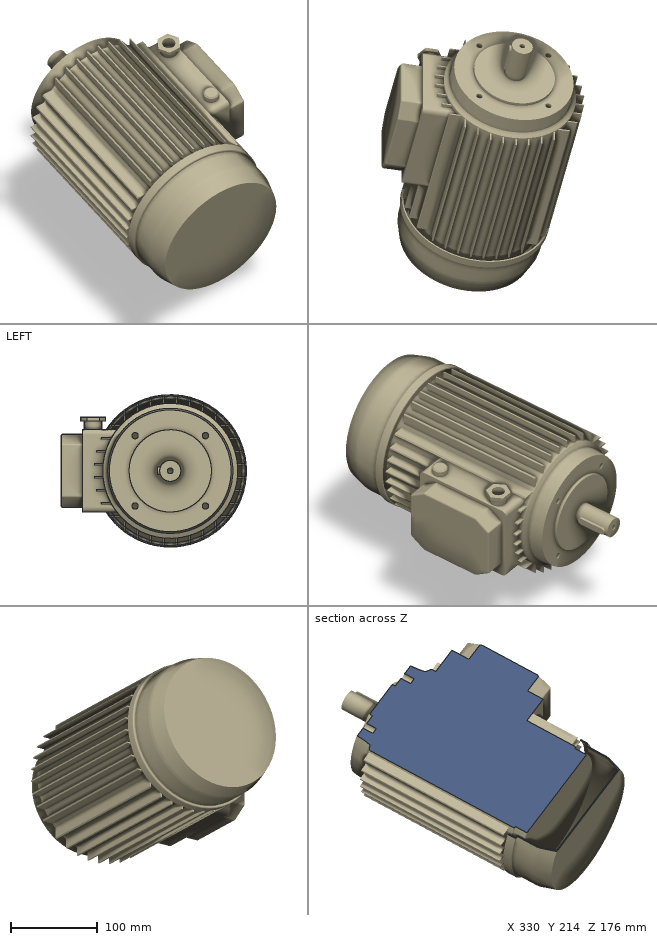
import cadquery as cq
import math


LENGTH = 330.0
COVER_DIAMETER = 176.0
DEPTH_Y = 214.0
COVER_RADIUS = COVER_DIAMETER / 2
LID_TOP_Y = DEPTH_Y - COVER_RADIUS

SHAFT_RADIUS = 12.2
CENTRE_HOLE_RADIUS = 3.3
CENTRE_HOLE_DEPTH = 13.2
DRILL_HALF_ANGLE = math.radians(60)
KEY_WIDTH = 8.5
KEY_START_X = 3.0
KEY_END_X = 41.0
KEY_TOP_Y = 14.5

SPIGOT_X = 46.0
SPIGOT_RADIUS = 47.5
FLANGE_X = 49.8
FLANGE_FACE_RADIUS = 70.3
FLANGE_BACK_X = 68.5
FLANGE_BACK_RADIUS = 72.3
CORE_START_X = 72.5
BOLT_OFFSET = 40.5
BOLT_HOLE_RADIUS = 3.5
BOLT_HOLE_DEPTH = 13.2

CORE_RADIUS = 78.0
FIN_START_X = 73.5
FIN_END_X = 265.0
FIN_SPAN = 105.0
FIN_THICKNESS = 1.5
FINS_PER_SIDE = 8
CORE_END_X = 271.3
REAR_SHIELD_RADIUS = 76.0
REAR_SHIELD_END_X = 287.0

BOX_START_X = 78.5
BOX_END_X = 204.0
BOX_TOP_Y = 101.3
BOX_HEIGHT_Z = 95.5
BOX_SIDE_Z = BOX_HEIGHT_Z / 2
BOX_CORNER_RADIUS = 6.0
BOX_MID_X = (BOX_START_X + BOX_END_X) / 2
LID_MID_X = 142.2
LID_LENGTH_X = 114.2
LID_HEIGHT_Z = 84.8
LID_CORNER_X = 19.5
LID_CORNER_Z = 12.2
LID_EDGE_RADIUS = 2.3

FITTING_Y = 89.0
GLAND_X = 99.3
GLAND_STEM_RADIUS = 10.2
GLAND_HEX_BOTTOM_Z = 57.5
GLAND_HEX_TOP_Z = 62.0
HEX_SIDES = 6
GLAND_HEX_FLATS = 25.0
GLAND_BORE_RADIUS = 7.5
PLUG_X = 184.5
PLUG_RADIUS = 9.0
PLUG_HEIGHT = 8.5
PLUG_CHAMFER = 1.5

COVER_START_X = 270.0
COVER_RING_END_X = 280.5
COVER_RING_ROUNDING = 1.3
COVER_BARREL_RADIUS = 84.8
COVER_TAPER_X = 309.2
COVER_TAPER_ROUNDING = 15.2
COVER_BACK_RADIUS = 78.5
COVER_WALL = 1.5


def revolve_about_axis(points):
    """Revolve an (x, radius) outline about the motor axis."""
    return cq.Workplane("XY").polyline(points).close().revolve(360, (0, 0, 0), (1, 0, 0))


def cylinder_along_x(start_x, end_x, radius):
    return cq.Workplane("YZ", origin=(start_x, 0, 0)).circle(radius).extrude(end_x - start_x)


def cylinder_along_z(x, bottom_z, top_z, radius):
    base = cq.Workplane("XY", origin=(x, FITTING_Y, bottom_z))
    return base.circle(radius).extrude(top_z - bottom_z)


def make_shaft():
    shaft = cylinder_along_x(0, SPIGOT_X, SHAFT_RADIUS)
    key_length = KEY_END_X - KEY_START_X
    key = (
        cq.Workplane("XZ")
        .center((KEY_START_X + KEY_END_X) / 2, 0)
        .slot2D(key_length, KEY_WIDTH)
        .extrude(-KEY_TOP_Y)
    )
    cone_depth = CENTRE_HOLE_RADIUS / math.tan(DRILL_HALF_ANGLE)
    centre_hole = revolve_about_axis([
        (0, 0),
        (0, CENTRE_HOLE_RADIUS),
        (CENTRE_HOLE_DEPTH, CENTRE_HOLE_RADIUS),
        (CENTRE_HOLE_DEPTH + cone_depth, 0),
    ])
    return shaft.union(key).cut(centre_hole)


def make_core():
    """Front flange, cylindrical core and rear shield as one turned shape."""
    return revolve_about_axis([
        (SPIGOT_X, 0),
        (SPIGOT_X, SPIGOT_RADIUS),
        (FLANGE_X, SPIGOT_RADIUS),
        (FLANGE_X, FLANGE_FACE_RADIUS),
        (FLANGE_BACK_X, FLANGE_BACK_RADIUS),
        (CORE_START_X, CORE_RADIUS),
        (CORE_END_X, CORE_RADIUS),
        (CORE_END_X, REAR_SHIELD_RADIUS),
        (REAR_SHIELD_END_X, REAR_SHIELD_RADIUS),
        (REAR_SHIELD_END_X, 0),
    ])


def make_fins():
    """Straight fins standing along Z and along Y, with their tips on one cylinder."""
    fin_length = FIN_END_X - FIN_START_X
    pitch = FIN_SPAN / (FINS_PER_SIDE - 1)
    middle_x = (FIN_START_X + FIN_END_X) / 2
    fins = cq.Workplane("XY")
    for i in range(FINS_PER_SIDE):
        position = i * pitch - FIN_SPAN / 2
        base = cq.Workplane("XY", origin=(middle_x, position, 0))
        upright = base.box(fin_length, FIN_THICKNESS, COVER_DIAMETER)
        level = upright.rotate((0, 0, 0), (1, 0, 0), 90)
        fins = fins.union(upright).union(level)
    return fins.intersect(cylinder_along_x(FIN_START_X, FIN_END_X, COVER_RADIUS))


def make_terminal_box():
    box = (
        cq.Workplane("XZ")
        .center(BOX_MID_X, 0)
        .rect(BOX_END_X - BOX_START_X, BOX_HEIGHT_Z)
        .extrude(-BOX_TOP_Y)
        .edges("|Y")
        .fillet(BOX_CORNER_RADIUS)
    )
    half_x = LID_LENGTH_X / 2
    half_z = LID_HEIGHT_Z / 2
    flat_x = half_x - LID_CORNER_X
    flat_z = half_z - LID_CORNER_Z
    lid = (
        cq.Workplane("XZ", origin=(LID_MID_X, BOX_TOP_Y, 0))
        .polyline([
            (-flat_x, -half_z), (flat_x, -half_z), (half_x, -flat_z), (half_x, flat_z),
            (flat_x, half_z), (-flat_x, half_z), (-half_x, flat_z), (-half_x, -flat_z),
        ])
        .close()
        .extrude(BOX_TOP_Y - LID_TOP_Y)
        .edges("|Y")
        .fillet(LID_EDGE_RADIUS)
        .faces(">Y")
        .edges()
        .fillet(LID_EDGE_RADIUS)
    )
    return box.union(lid)


def make_gland():
    stem = cylinder_along_z(GLAND_X, BOX_SIDE_Z, GLAND_HEX_TOP_Z, GLAND_STEM_RADIUS)
    across_corners = GLAND_HEX_FLATS / math.cos(math.pi / HEX_SIDES)
    hexagon = (
        cq.Workplane("XY", origin=(GLAND_X, FITTING_Y, GLAND_HEX_BOTTOM_Z))
        .transformed(rotate=(0, 0, 90))
        .polygon(HEX_SIDES, across_corners)
        .extrude(GLAND_HEX_TOP_Z - GLAND_HEX_BOTTOM_Z)
    )
    bore = cylinder_along_z(GLAND_X, BOX_SIDE_Z, GLAND_HEX_TOP_Z, GLAND_BORE_RADIUS)
    return stem.union(hexagon).cut(bore)


def make_plug():
    plug = cylinder_along_z(PLUG_X, BOX_SIDE_Z, BOX_SIDE_Z + PLUG_HEIGHT, PLUG_RADIUS)
    return plug.faces(">Z").chamfer(PLUG_CHAMFER)


def make_bolt_holes():
    return (
        cq.Workplane("YZ", origin=(FLANGE_X, 0, 0))
        .rect(2 * BOLT_OFFSET, 2 * BOLT_OFFSET, forConstruction=True)
        .vertices()
        .circle(BOLT_HOLE_RADIUS)
        .extrude(BOLT_HOLE_DEPTH)
    )


def make_frame():
    frame = make_core().union(make_fins()).union(make_terminal_box())
    frame = frame.union(make_gland()).union(make_plug())
    return frame.cut(make_bolt_holes())


def cover_ring(inset):
    """Solid disc of the rim, drawn in from its outside by the given inset."""
    return cylinder_along_x(COVER_START_X, COVER_RING_END_X - inset, COVER_RADIUS - inset)


def cover_barrel(inset):
    """Solid barrel that tapers to the back, drawn in from its outside by the given inset."""
    barrel = revolve_about_axis([
        (COVER_START_X, 0),
        (COVER_START_X, COVER_BARREL_RADIUS - inset),
        (COVER_TAPER_X, COVER_BARREL_RADIUS - inset),
        (LENGTH - inset, COVER_BACK_RADIUS - inset),
        (LENGTH - inset, 0),
    ])
    taper_edge = cq.selectors.NearestToPointSelector((COVER_TAPER_X, 0, 0))
    return barrel.edges("%CIRCLE").edges(taper_edge).fillet(COVER_TAPER_ROUNDING)


def make_fan_cover():
    """Thin cup with a wide rim at its open front and a tapered, closed back."""
    ring = cover_ring(0).faces(">X").edges().fillet(COVER_RING_ROUNDING)
    cavity = cover_ring(COVER_WALL).union(cover_barrel(COVER_WALL))
    return ring.union(cover_barrel(0)).cut(cavity)


shaft = make_shaft()
frame = make_frame()
fan_cover = make_fan_cover()

result = cq.Compound.makeCompound([frame.val(), fan_cover.val(), shaft.val()])